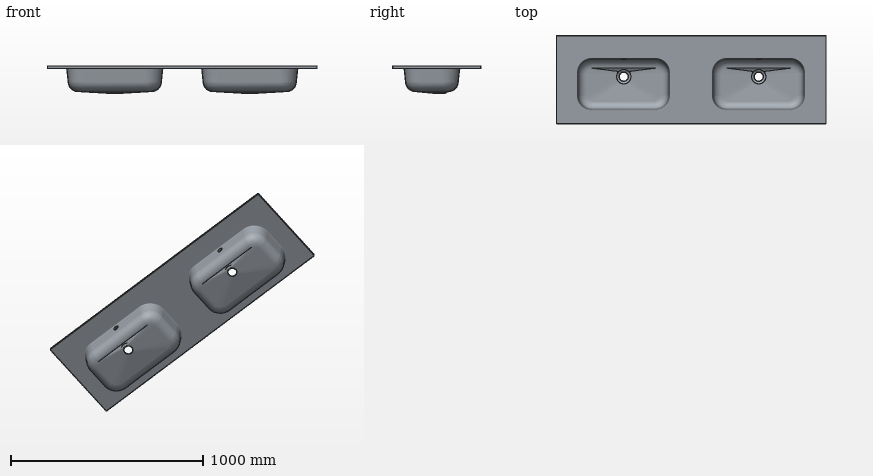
import cadquery as cq
import math

SLAB_LENGTH = 1405.0
SLAB_WIDTH = 460.0
SLAB_THICKNESS = 14.0
SLAB_CORNER_RADIUS = 4.0
TOP_EDGE_RADIUS = 2.1

TOTAL_HEIGHT = 143.0
BASIN_SPACING = 702.0
BASIN_Y = -25.0

BOWL_LENGTH = 483.0
BOWL_WIDTH = 273.0
BOWL_CORNER_RADIUS = 77.0
BOWL_BOTTOM_RADIUS = 42.0
WALL_DRAFT = 6.0
FLOOR_FALL = 10.0

WALL_THICKNESS = 10.0
SHELL_ROOT_RADIUS = 4.0

DRAIN_Y = 15.0
DRAIN_DIAMETER = 46.0
DRAIN_SEAT_DIAMETER = 75.0
DRAIN_SEAT_DEPTH = 5.0
DRAIN_FLAT_SIDE = 50.0
DRAIN_FLAT_CORNER_RADIUS = 13.0

OVERFLOW_DIAMETER = 25.0
OVERFLOW_Z = -37.0

BOWL_DEPTH = TOTAL_HEIGHT - WALL_THICKNESS
BASIN_CENTRES = [-BASIN_SPACING / 2, BASIN_SPACING / 2]


def rounded_rectangle(length, width, radius):
    return cq.Sketch().rect(length, width).vertices().fillet(radius)


def tub(offset):
    """Solid drafted tub, grown outward from the bowl by offset, whose floor falls to the drain."""
    edge_depth = BOWL_DEPTH - FLOOR_FALL + offset
    length = BOWL_LENGTH + 2 * offset
    width = BOWL_WIDTH + 2 * offset
    corner_radius = BOWL_CORNER_RADIUS + offset
    bottom_radius = BOWL_BOTTOM_RADIUS + offset
    walls = (
        cq.Workplane("XY")
        .center(0, BASIN_Y)
        .placeSketch(rounded_rectangle(length, width, corner_radius))
        .extrude(-edge_depth, taper=WALL_DRAFT)
        .faces("<Z")
        .edges()
        .fillet(bottom_radius)
    )

    draft_inset = edge_depth * math.tan(math.radians(WALL_DRAFT))
    fillet_inset = bottom_radius * math.tan(math.radians(45 - WALL_DRAFT / 2))
    inset = draft_inset + fillet_inset
    floor_edge = rounded_rectangle(length - 2 * inset, width - 2 * inset, corner_radius - inset)
    drain_flat = rounded_rectangle(DRAIN_FLAT_SIDE, DRAIN_FLAT_SIDE, DRAIN_FLAT_CORNER_RADIUS)
    floor = (
        cq.Workplane("XY")
        .placeSketch(
            floor_edge.moved(cq.Location(cq.Vector(0, BASIN_Y, -edge_depth))),
            drain_flat.moved(cq.Location(cq.Vector(0, DRAIN_Y, -edge_depth - FLOOR_FALL))),
        )
        .loft(ruled=True)
    )
    return walls.union(floor)


def drain_cutter():
    """Through hole opening upward into a conical seat in the basin floor."""
    hole_radius = DRAIN_DIAMETER / 2
    seat_radius = DRAIN_SEAT_DIAMETER / 2
    seat_bottom = -BOWL_DEPTH - DRAIN_SEAT_DEPTH
    top = -BOWL_DEPTH + FLOOR_FALL
    bottom = -TOTAL_HEIGHT - WALL_THICKNESS
    profile = [
        (0, top),
        (seat_radius, top),
        (seat_radius, -BOWL_DEPTH),
        (hole_radius, seat_bottom),
        (hole_radius, bottom),
        (0, bottom),
    ]
    return (
        cq.Workplane("XZ", origin=(0, DRAIN_Y, 0))
        .polyline(profile)
        .close()
        .revolve(360, (0, 0), (0, 1))
    )


def overflow_cutter():
    """Horizontal cylinder from the middle of the bowl out through its back wall."""
    reach = BOWL_WIDTH / 2 + 2 * WALL_THICKNESS
    return (
        cq.Workplane("XZ", origin=(0, BASIN_Y, OVERFLOW_Z))
        .circle(OVERFLOW_DIAMETER / 2)
        .extrude(-reach)
    )


slab = (
    cq.Workplane("XY")
    .box(SLAB_LENGTH, SLAB_WIDTH, SLAB_THICKNESS, centered=(True, True, False))
    .edges("|Z")
    .fillet(SLAB_CORNER_RADIUS)
    .translate((0, 0, -SLAB_THICKNESS))
)

shell = tub(WALL_THICKNESS)
body = slab
for basin_x in BASIN_CENTRES:
    body = body.union(shell.translate((basin_x, 0, 0)))

underside = body.faces("|Z").faces(">Z[-2]").val()
root_edges = [edge for wire in underside.innerWires() for edge in wire.Edges()]
body = body.newObject(root_edges).fillet(SHELL_ROOT_RADIUS)

bowl = tub(0)
for basin_x in BASIN_CENTRES:
    body = body.cut(bowl.translate((basin_x, 0, 0)))
body = body.faces(">Z").edges().fillet(TOP_EDGE_RADIUS)

openings = drain_cutter().union(overflow_cutter())
for basin_x in BASIN_CENTRES:
    body = body.cut(openings.translate((basin_x, 0, 0)))

result = body